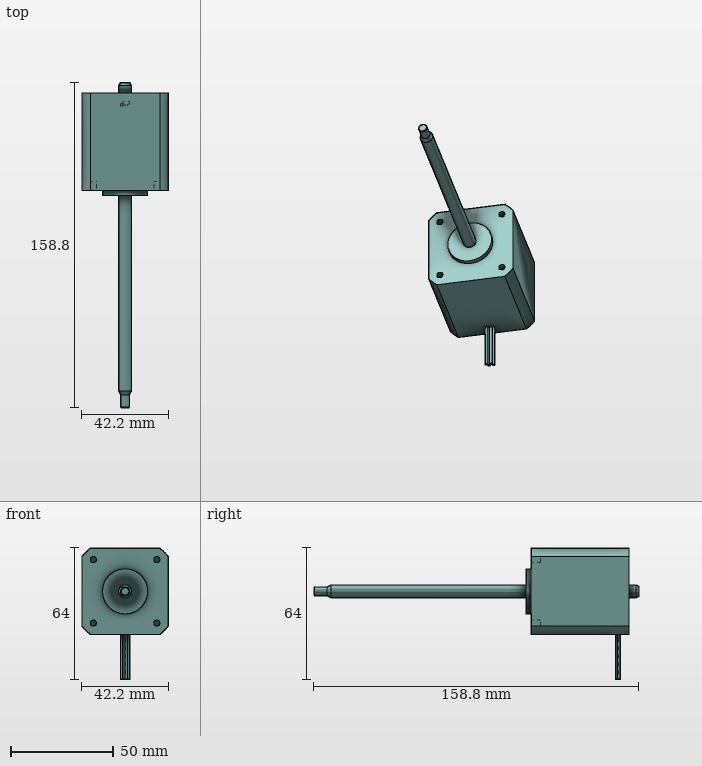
import cadquery as cq

BODY_WIDTH = 42.2
BODY_LENGTH = 47.8
CORNER_DIAMETER = 54.2
PILOT_DIAMETER = 22.0
PILOT_HEIGHT = 2.4

HOLE_DIAMETER = 3.0
HOLE_SPACING = 31.0
HOLE_DEPTH = 4.5

TOTAL_LENGTH = 158.75
SHAFT_DIAMETER = 6.35
REAR_STUB_LENGTH = 4.95
REAR_CHAMFER_RADIAL = 0.8
REAR_CHAMFER_LENGTH = 1.5
TIP_DIAMETER = 4.3
TIP_LENGTH = 6.3
TIP_CHAMFER = 0.3
TAPER_LENGTH = 2.0

WIRE_DIAMETER = 1.3
WIRE_PITCH = 1.13
WIRE_ROW_SPACING = 1.0
WIRE_COUNT = 4
WIRE_LENGTH = 21.83
WIRE_REAR_INSET = 5.4

FRONT_END = BODY_LENGTH + REAR_STUB_LENGTH - TOTAL_LENGTH


def cylinder_along_y(diameter, start, length):
    """Cylinder on the motor axis, from Y = start toward +Y."""
    plane = cq.Workplane("XZ", origin=(0, start, 0))
    return plane.circle(diameter / 2).extrude(-length)


def make_body():
    """Square body with corners rounded by a large turned diameter, plus the pilot."""
    square = cq.Workplane("XZ").rect(BODY_WIDTH, BODY_WIDTH).extrude(-BODY_LENGTH)
    body = square.intersect(cylinder_along_y(CORNER_DIAMETER, 0, BODY_LENGTH))
    return body.union(cylinder_along_y(PILOT_DIAMETER, -PILOT_HEIGHT, PILOT_HEIGHT))


def make_mounting_holes():
    """Four blind holes on a square pattern, drilled from the mounting face."""
    pattern = cq.Workplane("XZ").rect(HOLE_SPACING, HOLE_SPACING, forConstruction=True)
    return pattern.vertices().circle(HOLE_DIAMETER / 2).extrude(-HOLE_DEPTH)


def make_shaft():
    """Shaft turned about Y: chamfered front tip, taper, long rod and chamfered rear end."""
    radius = SHAFT_DIAMETER / 2
    tip_radius = TIP_DIAMETER / 2
    rear_end = FRONT_END + TOTAL_LENGTH
    taper_start = FRONT_END + TIP_LENGTH
    profile = (
        cq.Workplane("XY")
        .moveTo(0, FRONT_END)
        .lineTo(tip_radius - TIP_CHAMFER, FRONT_END)
        .lineTo(tip_radius, FRONT_END + TIP_CHAMFER)
        .lineTo(tip_radius, taper_start)
        .lineTo(radius, taper_start + TAPER_LENGTH)
        .lineTo(radius, rear_end - REAR_CHAMFER_LENGTH)
        .lineTo(radius - REAR_CHAMFER_RADIAL, rear_end)
        .lineTo(0, rear_end)
        .close()
    )
    return profile.revolve(360, (0, 0, 0), (0, 1, 0))


def make_wires():
    """Zigzag row of straight lead wires hanging from the underside near the rear."""
    bundle_center = (0, BODY_LENGTH - WIRE_REAR_INSET, -BODY_WIDTH / 2)
    centers = []
    for index in range(WIRE_COUNT):
        x = (index - (WIRE_COUNT - 1) / 2) * WIRE_PITCH
        side = -1 if index % 2 == 0 else 1
        centers.append((x, side * WIRE_ROW_SPACING / 2))
    wires = cq.Workplane("XY", origin=bundle_center).pushPoints(centers)
    return wires.circle(WIRE_DIAMETER / 2).extrude(-WIRE_LENGTH)


result = make_body().cut(make_mounting_holes()).union(make_shaft()).union(make_wires())